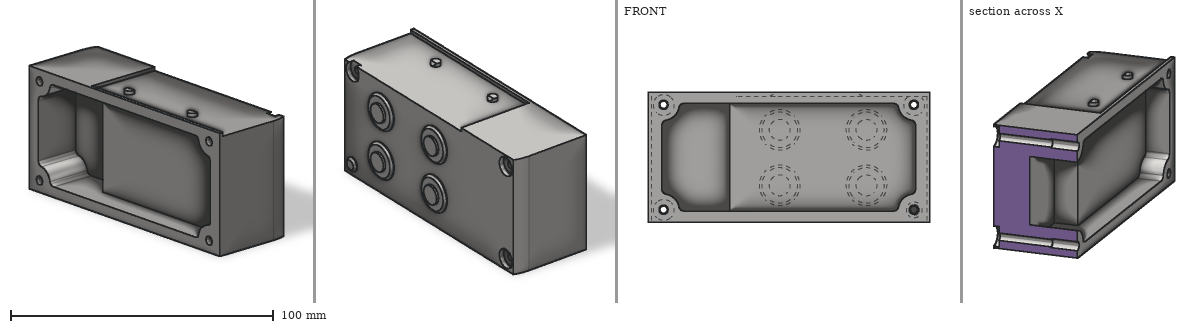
import cadquery as cq

length = 107.3
depth = 34.2
height = 49.6
edge_run = 6.5
edge_inset = 1.2
edge_radius = (edge_run**2 + edge_inset**2) / (2 * edge_inset)

recess_start = 33.6
recess_front = 1.6
recess_depth = 1.5

pin_diameter = 4.0
pin_xs = (46.2, 81.7)
pin_y = 9.3
pin_flat_offset = 1.0
pin_flank_drop = 1.3

pocket_width = 96.6
pocket_height = 41.0
pocket_center_x = 53.5
pocket_depth = 9.7
bay_end = 31.0
bay_depth = 19.3

hole_left = 5.9
hole_right = 101.2
hole_low = 4.8
hole_high = height - hole_low
hole_diameter = 3.4
core_diameter = 2.8
hole_front_depth = 10.7
counterbore_diameter = 7.9
counterbore_depth = 2.1
post_diameter = 11.9
post_fillet = 2.0

button_xs = (50.0, 83.0)
button_zs = (14.2, 35.3)
collar_diameter = 15.5
cap_diameter = 7.9
cap_rise = 2.3
screw_head_diameter = 6.0
rim_rise = 0.3
bevel = 1.0


def block(x_range, y_range, z_range):
    """Axis-aligned box between three pairs of coordinates."""
    size = [high - low for low, high in (x_range, y_range, z_range)]
    corner = (x_range[0], y_range[0], z_range[0])
    return cq.Workplane("XY").box(*size, centered=False).translate(corner)


def rod(x, z, diameter, y_start, y_end):
    """Cylinder along Y."""
    circle = cq.Workplane("XZ", origin=(x, y_start, z)).circle(diameter / 2)
    return circle.extrude(y_start - y_end)


def make_body():
    arc_start = depth - edge_run
    mid_inset = edge_radius - (edge_radius**2 - (edge_run / 2) ** 2) ** 0.5
    mid_y = depth - edge_run / 2
    return (
        cq.Workplane("XY")
        .lineTo(length, 0)
        .lineTo(length, arc_start)
        .threePointArc((length - mid_inset, mid_y), (length - edge_inset, depth))
        .lineTo(edge_inset, depth)
        .threePointArc((mid_inset, mid_y), (0, arc_start))
        .close()
        .extrude(height)
    )


def make_pocket():
    """Pocket with a rounded notch at each corner that leaves a wall around the screw hole."""
    x_range = (pocket_center_x - pocket_width / 2, pocket_center_x + pocket_width / 2)
    z_range = ((height - pocket_height) / 2, (height + pocket_height) / 2)
    pocket = block(x_range, (0, bay_depth), z_range)
    for x in (hole_left, hole_right):
        for z in (hole_low, hole_high):
            pocket = pocket.cut(rod(x, z, post_diameter, 0, bay_depth))
    pocket = pocket.edges("|Y").fillet(post_fillet)
    step = block((bay_end, length), (pocket_depth, bay_depth), (0, height))
    return pocket.cut(step)


def make_screw_hole(x, z):
    """Stepped hole through the block, counterbored from the back."""
    hole = rod(x, z, hole_diameter, 0, hole_front_depth)
    hole = hole.union(rod(x, z, core_diameter, 0, depth))
    return hole.union(rod(x, z, counterbore_diameter, depth - counterbore_depth, depth))


def make_filled_screw_hole(x, z):
    """Stepped hole that ends at the counterbore floor, as its screw is in place."""
    hole = rod(x, z, hole_diameter, 0, hole_front_depth)
    return hole.union(rod(x, z, core_diameter, 0, depth - counterbore_depth))


def make_pin(x):
    """Pin whose rear flank slopes down steeply from the flat top."""
    floor = height - recess_depth
    pin = cq.Workplane("XY", origin=(x, pin_y, floor)).circle(pin_diameter / 2)
    pin = pin.extrude(recess_depth)
    flank = (
        cq.Workplane("YZ", origin=(x, pin_y, floor))
        .moveTo(pin_flat_offset, recess_depth)
        .lineTo(pin_diameter / 2, recess_depth)
        .lineTo(pin_diameter / 2, recess_depth - pin_flank_drop)
        .close()
        .extrude(pin_diameter, both=True)
    )
    return pin.cut(flank)


def make_collar(x, z, diameter):
    """Low disc on the back face with a bevelled rim."""
    disc = rod(x, z, diameter, depth, depth + rim_rise + bevel)
    return disc.faces(">Y").chamfer(bevel)


result = make_body().cut(make_pocket())

recess = block((recess_start, length), (recess_front, depth), (height - recess_depth, height))
result = result.cut(recess)

for hole_x, hole_z in ((hole_left, hole_low), (hole_left, hole_high), (hole_right, hole_high)):
    result = result.cut(make_screw_hole(hole_x, hole_z))
result = result.cut(make_filled_screw_hole(hole_right, hole_low))

for pin_x in pin_xs:
    result = result.union(make_pin(pin_x))

for button_x in button_xs:
    for button_z in button_zs:
        result = result.union(make_collar(button_x, button_z, collar_diameter))
        result = result.union(rod(button_x, button_z, cap_diameter, depth, depth + cap_rise))
result = result.union(make_collar(hole_right, hole_low, screw_head_diameter))